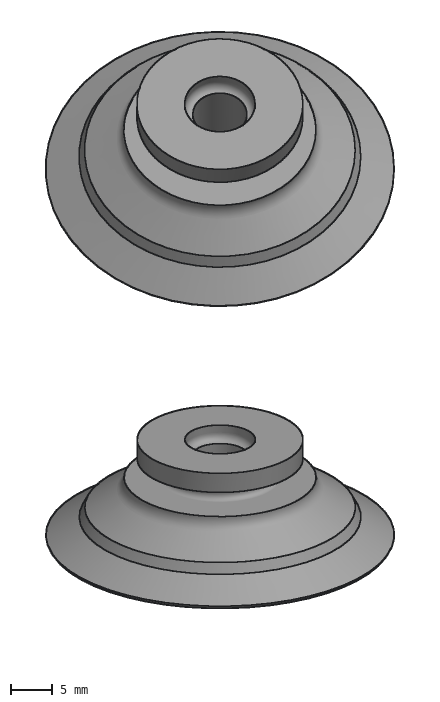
import cadquery as cq
import math

total_height = 13.0
flange_thickness = 2.5
flange_underside = total_height - flange_thickness
shoulder_top = 8.02
upper_cone_top = 6.45
upper_cone_bottom = 4.07
lip_cone_top = 2.8
lip_edge_height = 0.4

lip_radius = 42.0 / 2
lip_bottom_radius = 20.75
lip_cone_top_radius = 16.95
upper_cone_bottom_radius = 16.3
upper_cone_top_radius = 12.45
neck_radius = 13.0 / 2
flange_radius = 20.0 / 2
neck_fillet = 0.75

hole_radius = 6.5 / 2
counterbore_radius = 8.5 / 2
counterbore_wall_depth = 1.0
counterbore_fillet = counterbore_radius - hole_radius

upper_cone_angle = math.atan2(
    upper_cone_top - upper_cone_bottom,
    upper_cone_bottom_radius - upper_cone_top_radius,
)
shoulder_turn = math.pi / 2 - upper_cone_angle
shoulder_fillet = (shoulder_top - upper_cone_top) / math.sin(shoulder_turn)
shoulder_radius = upper_cone_top_radius - shoulder_fillet * (1 - math.cos(shoulder_turn))


def arc_point(center_r, center_z, radius, angle):
    """Point of an arc in the half-section, angle in radians from +r."""
    return (center_r + radius * math.cos(angle), center_z + radius * math.sin(angle))


def make_body():
    """Revolved outside shape: lip, stepped cone, shoulder, neck and flange."""
    fillet_center_r = neck_radius + neck_fillet
    lower_fillet_z = shoulder_top + neck_fillet
    upper_fillet_z = flange_underside - neck_fillet
    section = (
        cq.Workplane("XZ")
        .moveTo(0, 0)
        .lineTo(lip_bottom_radius, 0)
        .lineTo(lip_radius, lip_edge_height)
        .lineTo(lip_cone_top_radius, lip_cone_top)
        .lineTo(upper_cone_bottom_radius, upper_cone_bottom)
        .lineTo(upper_cone_top_radius, upper_cone_top)
        .threePointArc(
            arc_point(
                shoulder_radius + shoulder_fillet,
                shoulder_top,
                shoulder_fillet,
                math.pi + shoulder_turn / 2,
            ),
            (shoulder_radius, shoulder_top),
        )
        .lineTo(fillet_center_r, shoulder_top)
        .threePointArc(
            arc_point(fillet_center_r, lower_fillet_z, neck_fillet, 1.25 * math.pi),
            (neck_radius, lower_fillet_z),
        )
        .lineTo(neck_radius, upper_fillet_z)
        .threePointArc(
            arc_point(fillet_center_r, upper_fillet_z, neck_fillet, 0.75 * math.pi),
            (fillet_center_r, flange_underside),
        )
        .lineTo(flange_radius, flange_underside)
        .lineTo(flange_radius, total_height)
        .lineTo(0, total_height)
        .close()
    )
    return section.revolve(360, (0, 0, 0), (0, 1, 0))


def make_passage():
    """Through hole whose counterbore has a rounded floor."""
    wall_bottom = total_height - counterbore_wall_depth
    section = (
        cq.Workplane("XZ")
        .moveTo(0, 0)
        .lineTo(hole_radius, 0)
        .lineTo(hole_radius, wall_bottom - counterbore_fillet)
        .threePointArc(
            arc_point(hole_radius, wall_bottom, counterbore_fillet, -math.pi / 4),
            (counterbore_radius, wall_bottom),
        )
        .lineTo(counterbore_radius, total_height)
        .lineTo(0, total_height)
        .close()
    )
    return section.revolve(360, (0, 0, 0), (0, 1, 0))


result = make_body().cut(make_passage())